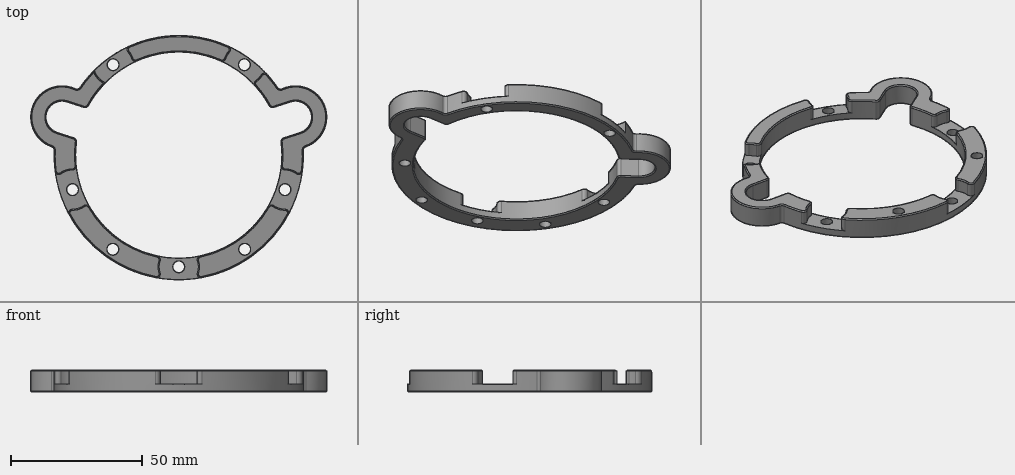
import cadquery as cq
import math

total_height = 8.5
bore_radius = 39.2
lower_outer_radius = 47.4
upper_outer_radius = 45.5
edge_chamfer = 0.5

bolt_count = 5
pitch_angle = 360 / bolt_count
bolt_angles = [-90 + pitch_angle * i for i in range(bolt_count)]
bolt_circle_radius = 42.5
hole_diameter = 4.4

block_hole_angles = [-125, -55]
block_hole_circle_radius = 43.7

lobe_angles = [90 - pitch_angle, 90 + pitch_angle]
overall_width = 112.6
lobe_radius = 11.9
lobe_center_x = overall_width / 2 - lobe_radius
lobe_center_y = lobe_center_x * math.tan(math.radians(lobe_angles[0]))
lobe_circle_radius = math.hypot(lobe_center_x, lobe_center_y)
lobe_blend_radius = 1.4
slot_radius = 6.1
slot_corner_radius = 1.5

base_height = 3.0
pocket_radius = 7.4
pocket_corner_radius = 1.5


def cylinders(radius, circle_radius, angles, bottom=0):
    """Upright cylinders centred on a circle, reaching from bottom to the top of the part."""
    turns = [math.radians(angle) for angle in angles]
    centers = [(circle_radius * math.cos(turn), circle_radius * math.sin(turn)) for turn in turns]
    plane = cq.Workplane("XY").workplane(offset=bottom)
    return plane.pushPoints(centers).circle(radius).extrude(total_height - bottom)


def concentric_disc(radius):
    return cq.Workplane("XY").circle(radius).extrude(total_height)


def distance_from_axis(edge):
    return math.hypot(edge.Center().x, edge.Center().y)


def is_on_bore(edge):
    return abs(distance_from_axis(edge) - bore_radius) < 0.01


def is_rounded_block_corner(edge):
    """False only for the block end between the -X lobe and the next pocket, which stays sharp."""
    direction = math.degrees(math.atan2(edge.Center().y, edge.Center().x))
    return not lobe_angles[1] - pitch_angle / 2 < direction < lobe_angles[1]


def make_outline():
    """Solid outline: two arcs that change radius inside the lobes, blended into the lobes."""
    lower_side = (
        cq.Workplane("XY")
        .center(0, lobe_center_y - lower_outer_radius)
        .rect(2 * lower_outer_radius, 2 * lower_outer_radius)
        .extrude(total_height)
    )
    lower_disc = concentric_disc(lower_outer_radius).intersect(lower_side)
    disc = lower_disc.union(concentric_disc(upper_outer_radius))
    outline = disc.union(cylinders(lobe_radius, lobe_circle_radius, lobe_angles))
    return outline.edges("|Z").fillet(lobe_blend_radius)


def make_opening():
    """Bore joined with the two radial slots; the corners where they meet are rounded."""
    opening = concentric_disc(bore_radius)
    for angle in lobe_angles:
        channel = (
            cq.Workplane("XY")
            .center(lobe_circle_radius / 2, 0)
            .rect(lobe_circle_radius, 2 * slot_radius)
            .extrude(total_height)
            .rotate((0, 0, 0), (0, 0, 1), angle)
        )
        opening = opening.union(channel)
    opening = opening.edges("|Z").filter(is_on_bore).fillet(slot_corner_radius)
    return opening.union(cylinders(slot_radius, lobe_circle_radius, lobe_angles))


body = make_outline().cut(make_opening())

body = body.cut(cylinders(pocket_radius, bolt_circle_radius, bolt_angles, base_height))
block_corners = body.edges("|Z").edges(">Z")
rounded_corners = block_corners.filter(is_rounded_block_corner)
body = rounded_corners.fillet(pocket_corner_radius)

body = body.faces(">Z or <Z").edges().chamfer(edge_chamfer)

hole_radius = hole_diameter / 2
body = body.cut(cylinders(hole_radius, bolt_circle_radius, bolt_angles))
body = body.cut(cylinders(hole_radius, block_hole_circle_radius, block_hole_angles))

result = body